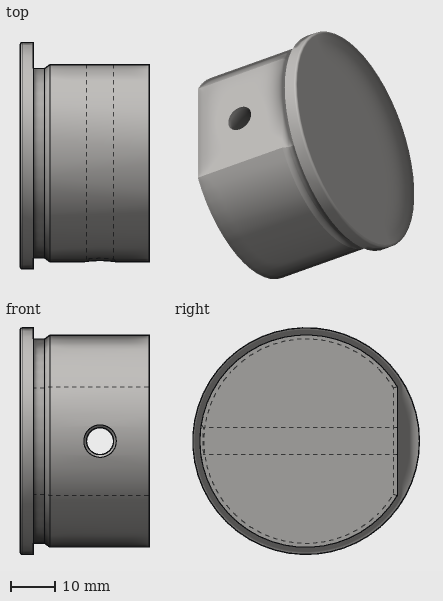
import cadquery as cq

flange_thickness = 2.95
groove_end = 5.5
shoulder_length = 1.15
total_length = 29.0

flange_diameter = 51
flange_edge_fillet = 0.5
body_diameter = 47.75
groove_depth = 0.85

body_flat_offset = 20.5

hole_diameter = 6.0
rim_diameter = 7.3
hole_x = 17.95

body_radius = body_diameter / 2
shoulder_end = groove_end + shoulder_length
rim_chamfer = (rim_diameter - hole_diameter) / 2


def d_profile(plane, inset):
    """Round outline with a flat on +Y, moved inward by inset."""
    radius = body_radius - inset
    flat_y = body_flat_offset - inset
    half_flat = (radius**2 - flat_y**2) ** 0.5
    return (
        plane.moveTo(flat_y, -half_flat)
        .lineTo(flat_y, half_flat)
        .threePointArc((-radius, 0), (flat_y, -half_flat))
        .close()
    )


def plane_at(x):
    """Plane across the axis, with local x along +Y and local y along +Z."""
    return cq.Workplane("YZ", origin=(x, 0, 0))


def make_flange():
    disc = plane_at(0).circle(flange_diameter / 2).extrude(flange_thickness)
    return disc.faces("<X").edges().fillet(flange_edge_fillet)


def make_groove_core():
    return d_profile(plane_at(flange_thickness), groove_depth).extrude(groove_end - flange_thickness)


def make_shoulder():
    """Tapered step from the groove floor up to the full body."""
    small_end = d_profile(plane_at(groove_end), groove_depth)
    return d_profile(small_end.workplane(offset=shoulder_length), 0).loft(ruled=True)


def make_body():
    return d_profile(plane_at(shoulder_end), 0).extrude(total_length - shoulder_end)


def cut_cross_hole(plug):
    """Through hole along Y whose -Y rim is chamfered along the curved surface."""
    hole = (
        cq.Workplane("XZ", origin=(hole_x, body_radius, 0))
        .circle(hole_diameter / 2)
        .extrude(body_diameter)
    )
    drilled = plug.cut(hole)
    half_rim = rim_diameter / 2
    rim_zone = cq.selectors.BoxSelector(
        (hole_x - half_rim, -flange_diameter / 2, -half_rim),
        (hole_x + half_rim, 0, half_rim),
        boundingbox=True,
    )
    return drilled.edges(rim_zone).chamfer(rim_chamfer)


solid_plug = make_flange().union(make_groove_core()).union(make_shoulder()).union(make_body())
result = cut_cross_hole(solid_plug)